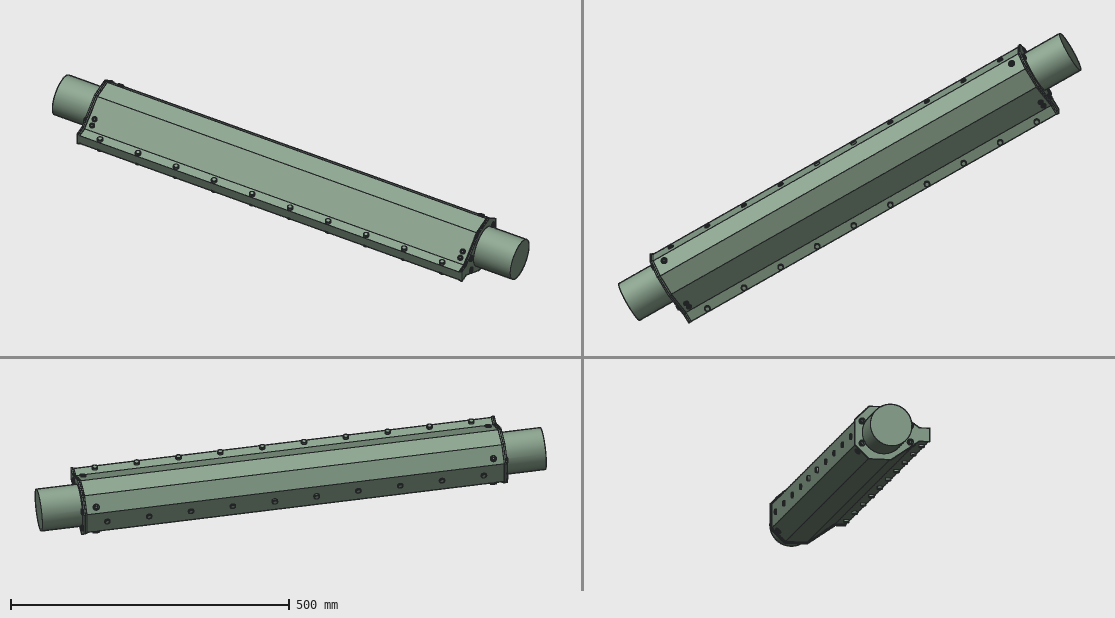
import cadquery as cq
import math

total_length = 919
pipe_diameter = 76.0
pipe_stub = 73.5
plate_thickness = 5.5
plate_rim = 2.3
inner_layer_thickness = 3.0
inner_layer_rim = 1.4

body_half_height = 46.0
back_y = 50.0
back_half_height = 22.0
roof_back_y = 25.0
roof_front_y = -15.0
nose_half_height = 10.0
nose_start_y = -66.0
nose_tip_y = -85.5

head_diameter = 10.0
large_head_diameter = 11.0
taper_head_diameter = 9
head_bevel = 1.0
socket_diameter = 5.0
socket_depth = 2.0
tall_head_height = 5.0
low_head_height = 3.0
row_count = 10
row_pitch = 76.0
nose_screw_y = -79.0
taper_screw_x = 369.5
taper_screw_ys = (-48.0, -58.0)
plate_screws = ((39.0, 20.0), (-50.0, 15.0))
shoulder_screw_x = 362.0
shoulder_screw_y = 41.0
head_root = 2.0

plate_outer_x = total_length / 2 - pipe_stub
plate_inner_x = plate_outer_x - plate_thickness


def section(rim):
    """Closed Y-Z outline of the body, enlarged by rim everywhere except at the nose tip."""
    taper_angle = math.atan2(body_half_height - nose_half_height, roof_front_y - nose_start_y)
    taper_shift = rim * math.tan(taper_angle / 2)
    upper = [
        (nose_tip_y, nose_half_height + rim),
        (nose_start_y - taper_shift, nose_half_height + rim),
        (roof_front_y - taper_shift, body_half_height + rim),
        (roof_back_y + rim / 2, body_half_height + rim),
        (back_y + rim, back_half_height + rim / 2),
    ]
    lower = [(y, -z) for y, z in reversed(upper)]
    return upper + lower


def extruded_section(rim, start_x, length):
    outline = cq.Workplane("YZ", origin=(start_x, 0, 0)).polyline(section(rim)).close()
    return outline.extrude(length)


def screw_head(point, outward, diameter, height):
    """Plain round head standing on a point of a face, with its outer rim bevelled."""
    direction = cq.Vector(*outward).normalized()
    base = cq.Vector(*point) - direction * head_root
    top = cq.Vector(*point) + direction * (height - head_bevel)
    radius = diameter / 2
    shank = cq.Solid.makeCylinder(radius, head_root + height - head_bevel, base, direction)
    rim = cq.Solid.makeCone(radius, radius - head_bevel, head_bevel, top, direction)
    return cq.Workplane(shank.fuse(rim))


def socket_head(point, outward, diameter):
    """Low screw head with a blind drive socket in its top."""
    direction = cq.Vector(*outward).normalized()
    socket_base = cq.Vector(*point) + direction * (low_head_height - socket_depth)
    socket = cq.Solid.makeCylinder(socket_diameter / 2, socket_depth, socket_base, direction)
    return screw_head(point, outward, diameter, low_head_height).cut(cq.Workplane(socket))


def height_between(y, start, end):
    """Z on the straight line through two (Y, Z) points."""
    return start[1] + (end[1] - start[1]) * (y - start[0]) / (end[0] - start[0])


def row_heads():
    heads = []
    for index in range(row_count):
        x = (index - (row_count - 1) / 2) * row_pitch
        is_middle_pair = abs(x) < row_pitch
        back_height = tall_head_height if is_middle_pair else low_head_height
        heads.append(screw_head((x, back_y, 0), (0, 1, 0), head_diameter, back_height))
        for side in (1, -1):
            point = (x, nose_screw_y, side * nose_half_height)
            heads.append(screw_head(point, (0, 0, side), head_diameter, tall_head_height))
    return heads


def taper_heads():
    upper_end = (roof_front_y, body_half_height)
    lower_end = (nose_start_y, nose_half_height)
    normal_y = -(body_half_height - nose_half_height)
    normal_z = roof_front_y - nose_start_y
    heads = []
    for x in (-taper_screw_x, taper_screw_x):
        for y in taper_screw_ys:
            z = height_between(y, upper_end, lower_end)
            for side in (1, -1):
                point = (x, y, side * z)
                outward = (0, normal_y, side * normal_z)
                heads.append(socket_head(point, outward, taper_head_diameter))
    return heads


def plate_heads():
    heads = []
    for end in (1, -1):
        for y, z in plate_screws:
            for side in (1, -1):
                point = (end * plate_outer_x, y, side * z)
                heads.append(socket_head(point, (end, 0, 0), large_head_diameter))
    return heads


def shoulder_heads():
    z = height_between(shoulder_screw_y, (roof_back_y, body_half_height), (back_y, back_half_height))
    normal_y = body_half_height - back_half_height
    normal_z = back_y - roof_back_y
    heads = []
    for x in (-shoulder_screw_x, shoulder_screw_x):
        for side in (1, -1):
            point = (x, shoulder_screw_y, side * z)
            outward = (0, normal_y, side * normal_z)
            heads.append(socket_head(point, outward, large_head_diameter))
    return heads


def end_plates():
    """Plate at each end of the body, its inner layer stepped in from the rim."""
    outer_layer_thickness = plate_thickness - inner_layer_thickness
    outer_layer = extruded_section(plate_rim, -plate_outer_x, outer_layer_thickness)
    full_depth = extruded_section(inner_layer_rim, -plate_outer_x, plate_thickness)
    left_plate = outer_layer.union(full_depth)
    return left_plate.union(left_plate.mirror("YZ"))


body = extruded_section(0, -plate_inner_x, 2 * plate_inner_x)
pipe = cq.Workplane("YZ", origin=(-total_length / 2, 0, 0)).circle(pipe_diameter / 2).extrude(total_length)

result = body.union(end_plates()).union(pipe)
for head in row_heads() + taper_heads() + plate_heads() + shoulder_heads():
    result = result.union(head)